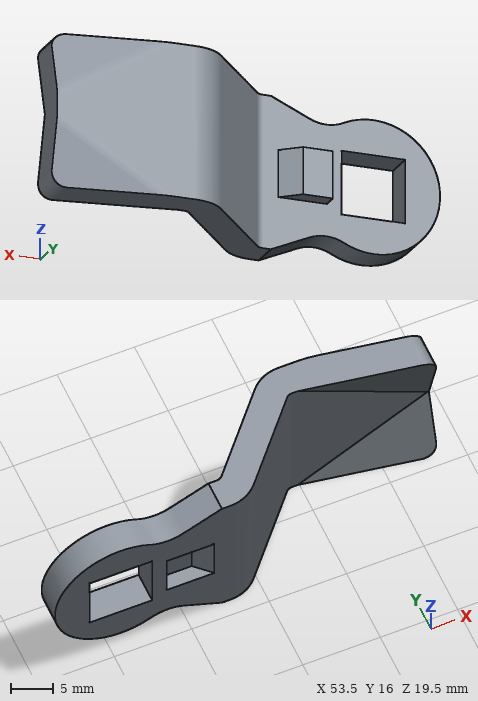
import math
import cadquery as cq

thickness = 4.0
half_width = 9.75
hub_radius = 8.5
overall_length = 53.5
hole_side = 8.1
end_x = overall_length - hub_radius

neck_radius = 5.05
neck_center_x = 6.05
flare_end_x = 13.05

crank_start_x = 14.1
crank_offset = 12.0
crank_angle = math.radians(49)
inner_bend_radius = 1.0
outer_bend_radius = inner_bend_radius + thickness

tab_start_x = 5.95
tab_end_x = 12.1
tab_flat_end_x = 9.75
pocket_flat_end_x = 10.0
tab_width = 6.0
tab_height = 2.0

fold_start_x = 28.05
fold_tip_x = 44.85
fold_angle = math.radians(18)
rear_fold_offset = 1.5
rear_fold_radius = 4.0
corner_radius = 2.0


def arc_point(center, radius, angle):
    """Point on a circle at an angle measured from the first axis."""
    return center[0] + radius * math.cos(angle), center[1] + radius * math.sin(angle)


def make_cranked_strip(end):
    """Strip from the hub to the given X, bent up and back again."""
    bend_radii = inner_bend_radius + outer_bend_radius
    slope_rise = crank_offset - bend_radii * (1 - math.cos(crank_angle))
    crank_run = bend_radii * math.sin(crank_angle) + slope_rise / math.tan(crank_angle)
    first = (crank_start_x, outer_bend_radius)
    second = (crank_start_x + crank_run, crank_offset - inner_bend_radius)
    down, up = -math.pi / 2, math.pi / 2
    half = crank_angle / 2
    return (
        cq.Workplane("XY")
        .moveTo(-hub_radius, 0)
        .lineTo(*arc_point(first, outer_bend_radius, down))
        .threePointArc(
            arc_point(first, outer_bend_radius, down + half),
            arc_point(first, outer_bend_radius, down + crank_angle),
        )
        .lineTo(*arc_point(second, inner_bend_radius, up + crank_angle))
        .threePointArc(
            arc_point(second, inner_bend_radius, up + half),
            arc_point(second, inner_bend_radius, up),
        )
        .lineTo(end, crank_offset)
        .lineTo(end, crank_offset + thickness)
        .lineTo(*arc_point(second, outer_bend_radius, up))
        .threePointArc(
            arc_point(second, outer_bend_radius, up + half),
            arc_point(second, outer_bend_radius, up + crank_angle),
        )
        .lineTo(*arc_point(first, inner_bend_radius, down + crank_angle))
        .threePointArc(
            arc_point(first, inner_bend_radius, down + half),
            arc_point(first, inner_bend_radius, down),
        )
        .lineTo(-hub_radius, thickness)
        .close()
        .extrude(half_width, both=True)
    )


def make_outline():
    """Flat outline of the whole part, running through in Y."""
    center_distance = hub_radius + neck_radius
    center_z = math.sqrt(center_distance**2 - neck_center_x**2)
    center = (neck_center_x, center_z)
    start_angle = math.atan2(-center_z, -neck_center_x)
    corner_dx = flare_end_x - neck_center_x
    corner_dz = half_width - center_z
    corner_distance = math.hypot(corner_dx, corner_dz)
    end_angle = math.atan2(corner_dz, corner_dx) - math.acos(neck_radius / corner_distance)
    hub_joint = arc_point(center, neck_radius, start_angle)
    neck_middle = arc_point(center, neck_radius, (start_angle + end_angle) / 2)
    flare_start = arc_point(center, neck_radius, end_angle)
    hub_middle = arc_point((0, 0), hub_radius, start_angle / 2 + math.pi)
    depth = crank_offset + thickness
    half = (
        cq.Workplane("XZ")
        .moveTo(-hub_radius, 0)
        .threePointArc(hub_middle, hub_joint)
        .threePointArc(neck_middle, flare_start)
        .lineTo(flare_end_x, half_width)
        .lineTo(end_x - corner_radius, half_width)
        .radiusArc((end_x, half_width - corner_radius), corner_radius)
        .lineTo(end_x, 0)
        .close()
        .extrude(-depth)
    )
    return half.union(half.mirror("XY"))


def make_folded_paddle():
    """Flat triangle ending at the tip, with both corners bent toward -Y."""
    fold_dir = cq.Vector(fold_tip_x - fold_start_x, 0, -half_width).normalized()
    outward = cq.Vector(-fold_dir.z, 0, fold_dir.x)
    along_fold = outward.cross(cq.Vector(0, 1, 0))
    plane = cq.Plane(origin=(fold_tip_x, crank_offset, 0), xDir=outward, normal=along_fold)
    reach = overall_length
    drop = reach * math.tan(fold_angle)
    rear_end = thickness - (reach - rear_fold_offset) * math.tan(fold_angle)
    tangent_length = rear_fold_radius * math.tan(fold_angle / 2)
    round_start = rear_fold_offset - tangent_length
    round_center = (round_start, thickness - rear_fold_radius)
    rear_up = math.pi / 2
    folded_plate = (
        cq.Workplane(plane)
        .moveTo(-reach, 0)
        .lineTo(0, 0)
        .lineTo(reach, -drop)
        .lineTo(reach, rear_end)
        .lineTo(*arc_point(round_center, rear_fold_radius, rear_up - fold_angle))
        .threePointArc(
            arc_point(round_center, rear_fold_radius, rear_up - fold_angle / 2),
            arc_point(round_center, rear_fold_radius, rear_up),
        )
        .lineTo(-reach, thickness)
        .close()
        .extrude(reach, both=True)
    )
    half_space = cq.Workplane("XY").box(
        end_x - fold_start_x, reach, half_width, centered=(False, True, False)
    ).translate((fold_start_x, 0, 0))
    half = folded_plate.intersect(half_space)
    return half.union(half.mirror("XY"))


def make_tab_block(flat_end):
    """Block of tab height with a ramp at its +X end."""
    return (
        cq.Workplane("XY")
        .moveTo(tab_start_x, 0)
        .lineTo(tab_end_x, 0)
        .lineTo(flat_end, tab_height)
        .lineTo(tab_start_x, tab_height)
        .close()
        .extrude(tab_width / 2, both=True)
    )


strip = make_cranked_strip(fold_start_x)
body = strip.union(make_folded_paddle()).intersect(make_outline())
square_hole = cq.Workplane("XY").box(hole_side, 2 * thickness, hole_side)
raised_tab = make_tab_block(tab_flat_end_x).translate((0, thickness, 0))
pocket = make_tab_block(pocket_flat_end_x)

result = body.union(raised_tab).cut(square_hole).cut(pocket)